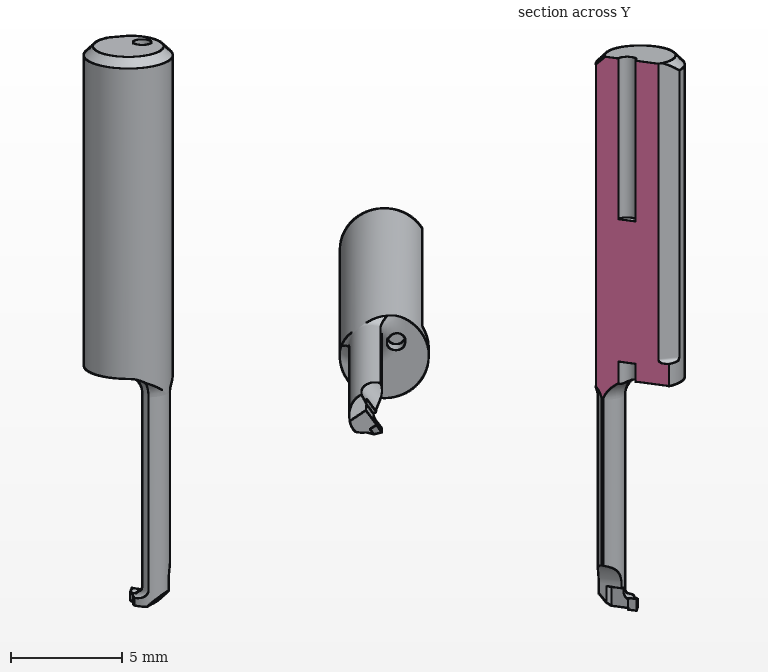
import cadquery as cq
import math

total_length = 26.0
shank_radius = 2.0
shank_bottom = 10.97
shank_length = total_length - shank_bottom
top_chamfer = 0.42

flat_distance = 1.5
flat_bottom = 12.0
flat_corner_radius = 0.15
flat_direction = 135.0

hole_x = 0.25
hole_y = 0.83
hole_radius = 0.42
inlet_depth = shank_length / 2
outlet_depth = 2 * hole_radius

inner_radius = 0.88
inner_left_x = 0.83
inner_axis_x = inner_left_x + inner_radius
outer_radius = 1.0
outer_axis_x = shank_radius - outer_radius
neck_flare = 1.05

head_bottom = 0.08
head_top = 0.45
head_flare = 0.42
corner_chamfer = 0.57
back_plane_y = 0.15
back_runout_radius = 1.12
back_runout_bottom = 1.15
recess_top = 1.01
recess_floor_x = 1.43

rake_y = 0.0
edge_x = 0.18
heel_point = (0.29, -0.36)
middle_point = (0.6, -0.62)
end_point = (1.15, -0.9)

tip_top = 0.55
tip_back_x = middle_point[0]

cut_margin = 2 * shank_radius


def cylinder(radius, x, y, bottom, height):
    return cq.Workplane("XY", origin=(x, y, bottom)).circle(radius).extrude(height)


def flared_column(radius, axis_x, lower_flare=0.0):
    """Round column whose radius sweeps outward at the shank and, optionally, at the head."""
    arc_share = 1 - math.sqrt(0.5)
    upper_start = shank_bottom - neck_flare
    profile = cq.Workplane("XZ", origin=(axis_x, 0, 0)).moveTo(0, head_bottom)
    if lower_flare:
        profile = (
            profile.lineTo(radius + lower_flare, head_bottom)
            .lineTo(radius + lower_flare, head_top)
            .threePointArc(
                (radius + arc_share * lower_flare, head_top + arc_share * lower_flare),
                (radius, head_top + lower_flare),
            )
        )
    else:
        profile = profile.lineTo(radius, head_bottom)
    return (
        profile.lineTo(radius, upper_start)
        .threePointArc(
            (radius + arc_share * neck_flare, shank_bottom - arc_share * neck_flare),
            (radius + neck_flare, shank_bottom),
        )
        .lineTo(0, shank_bottom)
        .close()
        .revolve(360, (0, 0, 0), (0, 1, 0))
    )


def make_shank():
    bar = cylinder(shank_radius, 0, 0, shank_bottom, shank_length)
    return bar.faces(">Z").chamfer(top_chamfer)


def make_flat_cutter():
    """Block that leaves the flat, with a rounded inner corner along the shelf."""
    return (
        cq.Workplane("XY", origin=(flat_distance, 0, flat_bottom))
        .box(shank_radius, cut_margin, shank_length, centered=(False, True, False))
        .edges("<X and <Z")
        .fillet(flat_corner_radius)
        .rotate((0, 0, 0), (0, 0, 1), flat_direction)
    )


def make_neck():
    inner_column = flared_column(inner_radius, inner_axis_x, head_flare)
    outer_column = flared_column(outer_radius, outer_axis_x)
    envelope = cylinder(shank_radius, 0, 0, head_bottom, shank_bottom - head_bottom)
    return inner_column.intersect(outer_column).intersect(envelope)


def make_head():
    """Plate carrying the tip, trimmed by the +X column of the neck."""
    plate = (
        cq.Workplane("XY", origin=(0, 0, head_bottom))
        .polyline([(edge_x, rake_y), heel_point, middle_point, end_point,
                   (shank_radius, end_point[1]), (shank_radius, rake_y)])
        .close()
        .extrude(head_top - head_bottom)
    )
    column = cylinder(outer_radius, outer_axis_x, 0, head_bottom, head_top - head_bottom)
    return plate.intersect(column)


def make_back_cutter():
    """Relief of the +Y side of the neck, running out on a concave arc."""
    arc_centre_y = back_plane_y + back_runout_radius
    diagonal = back_runout_radius * math.sqrt(0.5)
    return (
        cq.Workplane("YZ")
        .moveTo(back_plane_y, 0)
        .lineTo(back_plane_y, back_runout_bottom)
        .threePointArc(
            (arc_centre_y - diagonal, back_runout_bottom + diagonal),
            (arc_centre_y, back_runout_bottom + back_runout_radius),
        )
        .lineTo(arc_centre_y, 0)
        .close()
        .extrude(cut_margin)
    )


def make_recess_cutter():
    """Chip recess behind the rake face, ending in a 45 degree wall."""
    wall_run = shank_radius
    return (
        cq.Workplane("XY")
        .polyline([(-wall_run, rake_y), (recess_floor_x, rake_y),
                   (recess_floor_x + wall_run, rake_y + wall_run), (-wall_run, rake_y + wall_run)])
        .close()
        .extrude(recess_top)
    )


def make_corner_cutter():
    """45 degree chamfer on the lower +X corner."""
    return (
        cq.Workplane("XZ")
        .polyline([(shank_radius - corner_chamfer, head_bottom),
                   (shank_radius, head_bottom),
                   (shank_radius, head_bottom + corner_chamfer)])
        .close()
        .extrude(shank_radius, both=True)
    )


def make_tip():
    plan = (
        cq.Workplane("XY")
        .polyline([(edge_x, rake_y), heel_point, (tip_back_x, heel_point[1]), (tip_back_x, rake_y)])
        .close()
        .extrude(tip_top)
    )
    side_relief = (
        cq.Workplane("YZ")
        .polyline([(rake_y, 0), (rake_y, tip_top),
                   (heel_point[1], head_top), (heel_point[1], head_bottom)])
        .close()
        .extrude(shank_radius)
    )
    return plan.intersect(side_relief)


def make_holder(tip):
    neck = make_neck().union(make_head())
    neck = neck.cut(make_back_cutter())
    neck = neck.cut(make_recess_cutter())
    neck = neck.cut(make_corner_cutter())
    shank = make_shank().cut(make_flat_cutter())
    coolant_inlet = cylinder(hole_radius, hole_x, hole_y, total_length - inlet_depth, inlet_depth)
    coolant_outlet = cylinder(hole_radius, hole_x, hole_y, 0, shank_bottom + outlet_depth)
    return shank.union(neck).cut(coolant_inlet).cut(coolant_outlet).cut(tip)


cutting_tip = make_tip()
holder = make_holder(cutting_tip)

result = cq.Compound.makeCompound([holder.val(), cutting_tip.val()])